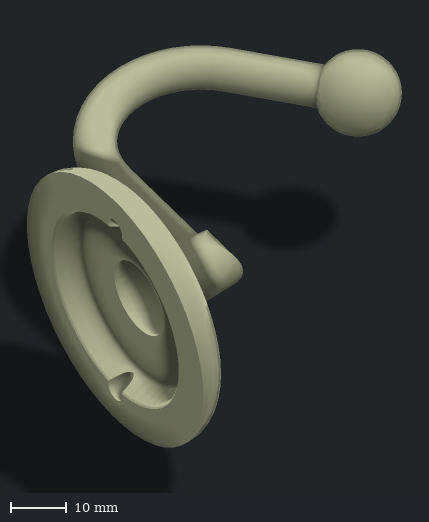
import cadquery as cq
import math

plate_radius = 27.0
plate_edge_height = 0.75
shoulder_radius = 21.8
shoulder_height = 6.8
shoulder_bulge = (25.2, 5.0)

flare_radius = 11.4
flare_height = 7.5
flare_waist = (7.7, 10.3)
stem_radius = 6.15
stem_start = 14.3
stem_tip_radius = 5.3

rod_radius = 3.95
rod_height = 18.8
bend_radius = 18.9
bend_sweep = 140.0
hook_reach = 49.0
bend_start_x = rod_radius + bend_radius - hook_reach
tip_length = 24.15
ball_radius = 7.8
stem_end_height = 18.4
stem_end_radius = 5.9
stem_top = stem_end_height + stem_end_radius

recess_mouth_radius = 19.45
recess_floor_radius = 17.4
recess_depth = 5.2
recess_chamfer = 0.3
recess_fillet = 0.75
hollow_radius = 7.45

screw_offset = 20.0
screw_radius = 2.1
screw_head_radius = 4.3
screw_head_top = 7.0


def revolve_about_y(outline):
    return outline.close().revolve(360, (0, 0, 0), (0, 1, 0))


def make_base():
    outline = (
        cq.Workplane("XY")
        .lineTo(plate_radius, 0)
        .lineTo(plate_radius, plate_edge_height)
        .threePointArc(shoulder_bulge, (shoulder_radius, shoulder_height))
        .lineTo(flare_radius, flare_height)
        .threePointArc(flare_waist, (stem_radius, stem_start))
        .lineTo(0, stem_start)
    )
    return revolve_about_y(outline)


def make_stem():
    """Cone whose end is rounded about a line parallel to the rod."""
    cone = revolve_about_y(
        cq.Workplane("XY")
        .moveTo(0, stem_start)
        .lineTo(stem_radius, stem_start)
        .lineTo(stem_tip_radius, stem_top)
        .lineTo(0, stem_top)
    )
    width = 2 * stem_radius
    round_end = (
        cq.Workplane("YZ", origin=(-width / 2, stem_end_height, 0))
        .circle(stem_end_radius)
        .extrude(width)
    )
    lower_part = (
        cq.Workplane("XY")
        .box(width, stem_end_height, width)
        .translate((0, stem_end_height / 2, 0))
    )
    return cone.intersect(round_end.union(lower_part))


def make_hook():
    """Straight rod, bend and slanted tip, finished with a ball."""
    bend_centre_y = rod_height + bend_radius

    def bend_point(sweep):
        angle = math.radians(270 - sweep)
        x = bend_start_x + bend_radius * math.cos(angle)
        y = bend_centre_y + bend_radius * math.sin(angle)
        return (x, y)

    bend_end = bend_point(bend_sweep)
    tip_angle = math.radians(180 - bend_sweep)
    ball_x = bend_end[0] + tip_length * math.cos(tip_angle)
    ball_y = bend_end[1] + tip_length * math.sin(tip_angle)
    path = (
        cq.Workplane("XY")
        .moveTo(0, rod_height)
        .lineTo(bend_start_x, rod_height)
        .threePointArc(bend_point(bend_sweep / 2), bend_end)
        .lineTo(ball_x, ball_y)
    )
    rod = cq.Workplane("YZ", origin=(0, rod_height, 0)).circle(rod_radius).sweep(path)
    ball = cq.Workplane("XY").sphere(ball_radius).translate((ball_x, ball_y, 0))
    return rod.union(ball)


def make_recess():
    recess = revolve_about_y(
        cq.Workplane("XY")
        .lineTo(recess_mouth_radius, 0)
        .lineTo(recess_mouth_radius - recess_chamfer, recess_chamfer)
        .lineTo(recess_floor_radius, recess_depth)
        .lineTo(0, recess_depth)
    )
    recess = recess.faces(">Y").edges().fillet(recess_fillet)
    hollow = cq.Workplane("XY").sphere(hollow_radius).translate((0, recess_depth, 0))
    return recess.union(hollow)


def make_screw_hole(z):
    head_depth = screw_head_radius - screw_radius
    clearance = 0.75
    hole = (
        cq.Workplane("XY")
        .lineTo(screw_radius, 0)
        .lineTo(screw_radius, screw_head_top - head_depth)
        .lineTo(screw_head_radius + clearance, screw_head_top + clearance)
        .lineTo(0, screw_head_top + clearance)
    )
    return revolve_about_y(hole).translate((0, 0, z))


result = make_base().union(make_stem()).union(make_hook()).cut(make_recess())
for side in (-1, 1):
    result = result.cut(make_screw_hole(side * screw_offset))